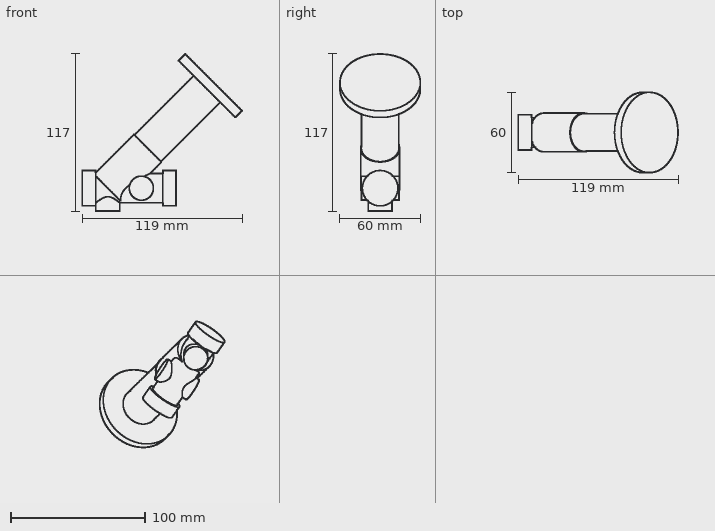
import cadquery as cq
import math

run_length = 70.0
pipe_diameter = 22.0
cap_diameter = 26.4
cap_length = 10.0

port_diameter = 18.0
bottom_port_reach = 17.0
side_port_x = 44.0
side_port_reach = 14.0

branch_angle = 45.0
body_diameter = 29.0
body_length = 42.0
neck_diameter = 28.0
flange_diameter = 60.0
flange_thickness = 7.0
branch_length = 111.4

branch_x = 19.0


def cylinder(diameter, length, start, direction):
    return cq.Workplane(
        cq.Solid.makeCylinder(diameter / 2, length, cq.Vector(*start), cq.Vector(*direction))
    )


def make_run():
    along_x = (1, 0, 0)
    run = cylinder(pipe_diameter, run_length, (0, 0, 0), along_x)
    for cap_start in (0, run_length - cap_length):
        run = run.union(cylinder(cap_diameter, cap_length, (cap_start, 0, 0), along_x))
    return run


def make_ports():
    bottom_port = cylinder(port_diameter, bottom_port_reach, (branch_x, 0, 0), (0, 0, -1))
    side_ports = cylinder(
        port_diameter, 2 * side_port_reach, (side_port_x, -side_port_reach, 0), (0, 1, 0)
    )
    return bottom_port.union(side_ports)


def make_branch():
    angle = math.radians(branch_angle)
    direction = (math.cos(angle), 0, math.sin(angle))

    def branch_section(diameter, start_distance, length):
        start = (branch_x + start_distance * direction[0], 0, start_distance * direction[2])
        return cylinder(diameter, length, start, direction)

    flange_start = branch_length - flange_thickness
    body = branch_section(body_diameter, 0, body_length)
    neck = branch_section(neck_diameter, body_length, flange_start - body_length)
    flange = branch_section(flange_diameter, flange_start, flange_thickness)
    return body.union(neck).union(flange)


result = make_run().union(make_branch()).union(make_ports())